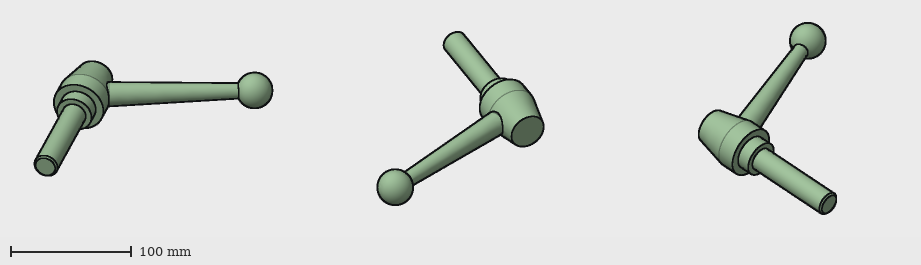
import cadquery as cq
import math

hub_diameter = 43.0
hub_top_diameter = 30.0
hub_height = 46.4
hub_straight_height = 16.3
collar_diameter = 30.0
collar_length = 12.0
stud_diameter = 20.0
stud_end_y = -92.0
stud_chamfer = 1.5

ball_diameter = 30.0
ball_x = 132.0
overall_length = 173
arm_angle = 20
arm_root_diameter = 20.5
arm_straight_length = 19.5
arm_tip_diameter = 12.1

ball_y = stud_end_y + overall_length - ball_diameter / 2
arm_length = ball_x / math.cos(math.radians(arm_angle))
arm_root_y = ball_y - ball_x * math.tan(math.radians(arm_angle))


def make_body():
    """Revolve the hub, collar and chamfered stud as one half profile."""
    hub_radius = hub_diameter / 2
    collar_radius = collar_diameter / 2
    stud_radius = stud_diameter / 2
    return (
        cq.Workplane("XY")
        .moveTo(0, stud_end_y)
        .lineTo(stud_radius - stud_chamfer, stud_end_y)
        .lineTo(stud_radius, stud_end_y + stud_chamfer)
        .lineTo(stud_radius, -collar_length)
        .lineTo(collar_radius, -collar_length)
        .lineTo(collar_radius, 0)
        .lineTo(hub_radius, 0)
        .lineTo(hub_radius, hub_straight_height)
        .lineTo(hub_top_diameter / 2, hub_height)
        .lineTo(0, hub_height)
        .close()
        .revolve(360, (0, 0), (0, 1))
    )


def make_arm():
    """Revolve a cylinder that turns into a cone along X, then tilt it up from the hub axis."""
    return (
        cq.Workplane("XY")
        .polyline([
            (0, 0),
            (0, arm_root_diameter / 2),
            (arm_straight_length, arm_root_diameter / 2),
            (arm_length, arm_tip_diameter / 2),
            (arm_length, 0),
        ])
        .close()
        .revolve(360, (0, 0), (1, 0))
        .rotate((0, 0, 0), (0, 0, 1), arm_angle)
        .translate((0, arm_root_y, 0))
    )


def make_ball():
    return cq.Workplane("XY").sphere(ball_diameter / 2).translate((ball_x, ball_y, 0))


result = make_body().union(make_arm()).union(make_ball())